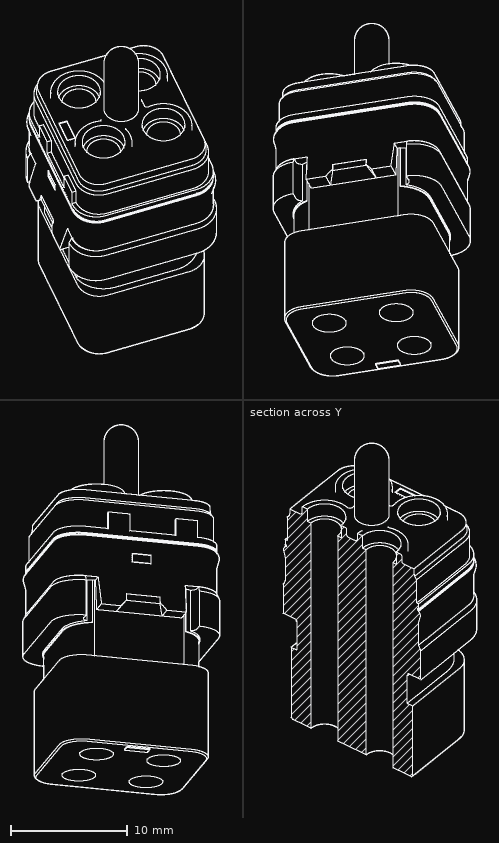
import cadquery as cq
import math

MARK_HEIGHT = 0.1
Z_BLOCK_BOTTOM = MARK_HEIGHT
Z_BLOCK_TOP = 7.95
Z_COLLAR_BOTTOM = 11.05
Z_SKIRT_BOTTOM = 11.23
Z_SKIRT_SHOULDER = 14.44
Z_SKIRT_TOP = 14.93
Z_BEAD_FOOT = 17.4
Z_BEAD_LOW = 18.2
Z_BEAD_TOP = 18.73
Z_RELIEF_TOP = 18.87
Z_BODY_TOP = 19.45
Z_TAB_TOP = 20.97
Z_UPPER_SHOULDER = 22.0
Z_LIP_FLARE = 22.28
Z_LIP = 22.77
Z_FACE = 23.05
Z_PLATEAU = 23.97
Z_PIN_TIP = 31.4

BLOCK_X, BLOCK_Y, BLOCK_R = 6.62, 5.76, 2.0
BLOCK_BOTTOM_CHAMFER = 0.15
SKIRT_X, SKIRT_Y, SKIRT_R = 7.5, 6.7, 2.5
BODY_X, BODY_Y, BODY_R = 7.26, 6.4, 2.2
UPPER_X, UPPER_Y, UPPER_R = 7.05, 6.02, 2.1

LIP_FLARE_INSET = 0.22
LIP_INSET = 0.3
RELIEF_INSET = 0.12
BEAD_HEIGHT = 0.21
BEAD_ROUND = 0.5

NECK_X, NECK_Y = 6.02, 5.56
NECK_FLAT_Y = 2.8
NECK_FLAT_X = 4.0
NECK_ARC_END = (4.49, 5.35)
COLLAR_LIP = 0.08
COLLAR_GAP_X = 4.17

OPENING_X = BODY_X - BODY_R
OPENING_INNER_Y = NECK_ARC_END[1]
OPENING_FILLET = OPENING_X - NECK_ARC_END[0]
LATCH_TOP_X, LATCH_BOTTOM_X = 3.9, 3.8
LATCH_TIP_Y = 7.05
Z_LATCH_RAMP_END = 12.47
Z_LATCH_BOTTOM = 12.25
RECESS_X, RECESS_FLARE_X = 1.5, 2.05
RECESS_WALL_Y = 6.77
Z_RECESS_TOP, Z_RECESS_FLARE = 13.5, 12.9

PITCH_X, PITCH_Y = 6.0, 5.5
RING_RADIUS = 2.45
CENTRE_SQUARE = 4.0
SLOT_CORNER_FILLET = 0.22
SELECT_MARGIN = 0.01
RING_TOP_FILLET = 0.17
RING_FOOT_FILLET = 0.18
BORE_RADIUS = 1.45
COUNTERBORE_RADIUS = 1.83
COUNTERBORE_DEPTH = 1.35
PIN_RADIUS = 1.5

TAB_SPANS = [(-2.98, -1.07), (3.07, 4.98)]
NOTCH_WIDTH, Z_NOTCH_BOTTOM, NOTCH_DEPTH = 1.66, 16.63, 0.1
MARK_WIDTH, MARK_LENGTH, MARK_Y = 2.05, 0.72, -4.96


def box(x0, x1, y0, y1, z0, z1):
    """Axis-aligned box between two corners."""
    return cq.Workplane("XY").box(x1 - x0, y1 - y0, z1 - z0, centered=False).translate((x0, y0, z0))


def section(half_x, half_y, radius, z0, z1, end_inset=0.0):
    """Rounded rectangular block from z0 up or down to z1, where its outline is end_inset smaller."""
    taper = math.degrees(math.atan2(end_inset, abs(z1 - z0)))
    outline = cq.Sketch().rect(2 * half_x, 2 * half_y).vertices().fillet(radius)
    return cq.Workplane("XY").workplane(offset=z0).placeSketch(outline).extrude(z1 - z0, taper=taper)


def body_section(z0, z1, inset=0.0, end_inset=0.0):
    return section(BODY_X - inset, BODY_Y - inset, BODY_R - inset, z0, z1, end_inset)


def upper_section(z0, z1, inset=0.0, end_inset=0.0):
    return section(UPPER_X - inset, UPPER_Y - inset, UPPER_R - inset, z0, z1, end_inset)


def make_block():
    block = section(BLOCK_X, BLOCK_Y, BLOCK_R, Z_BLOCK_BOTTOM, Z_BLOCK_TOP)
    return block.faces("<Z").chamfer(BLOCK_BOTTOM_CHAMFER)


def neck_wire(z):
    """Neck outline: flat sides, large corner arcs and a narrow bevel beside each Y flat."""
    end_x, end_y = NECK_ARC_END
    rise = end_y - NECK_FLAT_Y
    run = NECK_X - end_x
    radius = (run ** 2 + rise ** 2) / (2 * run)
    centre_x = NECK_X - radius
    half_angle = math.atan2(rise, end_x - centre_x) / 2
    mid_x = centre_x + radius * math.cos(half_angle)
    mid_y = NECK_FLAT_Y + radius * math.sin(half_angle)
    return (
        cq.Workplane("XY").workplane(offset=z)
        .moveTo(NECK_X, -NECK_FLAT_Y)
        .lineTo(NECK_X, NECK_FLAT_Y)
        .threePointArc((mid_x, mid_y), (end_x, end_y))
        .lineTo(NECK_FLAT_X, NECK_Y)
        .lineTo(-NECK_FLAT_X, NECK_Y)
        .lineTo(-end_x, end_y)
        .threePointArc((-mid_x, mid_y), (-NECK_X, NECK_FLAT_Y))
        .lineTo(-NECK_X, -NECK_FLAT_Y)
        .threePointArc((-mid_x, -mid_y), (-end_x, -end_y))
        .lineTo(-NECK_FLAT_X, -NECK_Y)
        .lineTo(NECK_FLAT_X, -NECK_Y)
        .lineTo(end_x, -end_y)
        .threePointArc((mid_x, -mid_y), (NECK_X, -NECK_FLAT_Y))
        .close()
    )


def make_neck():
    """Neck, with a slightly larger collar where it enters the skirt."""
    neck = neck_wire(Z_BLOCK_TOP).extrude(Z_SKIRT_TOP - Z_BLOCK_TOP)
    collar = neck_wire(Z_COLLAR_BOTTOM).offset2D(COLLAR_LIP).extrude(Z_SKIRT_TOP - Z_COLLAR_BOTTOM)
    gap = box(-COLLAR_GAP_X, COLLAR_GAP_X, -SKIRT_Y, SKIRT_Y, Z_COLLAR_BOTTOM, Z_SKIRT_TOP)
    return neck.union(collar.cut(gap))


def make_skirt():
    """Skirt with a sloped shoulder, open across both Y sides for the latches."""
    skirt = section(SKIRT_X, SKIRT_Y, SKIRT_R, Z_SKIRT_BOTTOM, Z_SKIRT_SHOULDER)
    shoulder = section(
        SKIRT_X, SKIRT_Y, SKIRT_R, Z_SKIRT_SHOULDER, Z_SKIRT_TOP, SKIRT_X - BODY_X
    )
    opening = box(-OPENING_X, OPENING_X, -SKIRT_Y, -OPENING_INNER_Y, Z_SKIRT_BOTTOM, Z_SKIRT_TOP)
    opening = opening.edges("|Z and >Y").fillet(OPENING_FILLET)
    return skirt.union(shoulder).cut(opening).cut(opening.mirror("XZ"))


def make_latch():
    """Wedge-shaped latch on the -Y side, with a flared recess in its lower edge."""
    wedge = (
        cq.Workplane("YZ").workplane(offset=-LATCH_TOP_X)
        .polyline([
            (-OPENING_INNER_Y, Z_SKIRT_TOP),
            (-BODY_Y, Z_SKIRT_TOP),
            (-LATCH_TIP_Y, Z_LATCH_RAMP_END),
            (-LATCH_TIP_Y, Z_LATCH_BOTTOM),
            (-OPENING_INNER_Y, Z_LATCH_BOTTOM),
        ]).close().extrude(2 * LATCH_TOP_X)
    )
    front = (
        cq.Workplane("XZ")
        .polyline([
            (-LATCH_TOP_X, Z_SKIRT_TOP),
            (LATCH_TOP_X, Z_SKIRT_TOP),
            (LATCH_BOTTOM_X, Z_LATCH_BOTTOM),
            (-LATCH_BOTTOM_X, Z_LATCH_BOTTOM),
        ]).close().extrude(LATCH_TIP_Y)
    )
    recess_outline = (
        cq.Workplane("XZ")
        .polyline([
            (-RECESS_X, Z_RECESS_TOP),
            (RECESS_X, Z_RECESS_TOP),
            (RECESS_X, Z_RECESS_FLARE),
            (RECESS_FLARE_X, Z_LATCH_BOTTOM),
            (-RECESS_FLARE_X, Z_LATCH_BOTTOM),
            (-RECESS_X, Z_RECESS_FLARE),
        ]).close().extrude(LATCH_TIP_Y)
    )
    recess_depth = (
        cq.Workplane("YZ").workplane(offset=-RECESS_FLARE_X)
        .polyline([
            (-LATCH_TIP_Y, Z_RECESS_TOP),
            (-RECESS_WALL_Y, Z_RECESS_TOP),
            (-RECESS_WALL_Y, Z_RECESS_FLARE),
            (-NECK_Y, Z_LATCH_BOTTOM),
            (-LATCH_TIP_Y, Z_LATCH_BOTTOM),
        ]).close().extrude(2 * RECESS_FLARE_X)
    )
    return wedge.intersect(front).cut(recess_outline.intersect(recess_depth))


def make_body():
    """Body between skirt and upper block, with the sealing bead around it."""
    body = body_section(Z_SKIRT_TOP, Z_BEAD_TOP)
    body = body.union(body_section(Z_BEAD_TOP, Z_RELIEF_TOP, RELIEF_INSET))
    body = body.union(body_section(Z_RELIEF_TOP, Z_BODY_TOP))
    return body.union(make_bead())


def make_bead():
    """Sealing bead: rounded above, sloping back to the body below."""
    bead = body_section(Z_BEAD_LOW, Z_BEAD_TOP, -BEAD_HEIGHT)
    bead = bead.faces(">Z").edges().fillet(BEAD_ROUND)
    return bead.union(body_section(Z_BEAD_LOW, Z_BEAD_FOOT, -BEAD_HEIGHT, BEAD_HEIGHT))


def make_upper():
    """Upper block: straight sides, a shoulder, a slight flare and a straight lip."""
    upper = upper_section(Z_BODY_TOP, Z_UPPER_SHOULDER)
    upper = upper.union(upper_section(Z_UPPER_SHOULDER, Z_LIP_FLARE, 0.0, LIP_FLARE_INSET))
    flare = upper_section(Z_LIP_FLARE, Z_LIP, LIP_FLARE_INSET, LIP_INSET - LIP_FLARE_INSET)
    lip = upper_section(Z_LIP, Z_FACE, LIP_INSET)
    return upper.union(flare).union(lip)


def contact_points(z):
    return cq.Workplane("XY").workplane(offset=z).rarray(PITCH_X, PITCH_Y, 2, 2)


def add_plateau(part):
    """Four contact rings joined by a central square, filleted at foot, rim and slot ends."""
    height = Z_PLATEAU - Z_FACE
    plateau = contact_points(Z_FACE).circle(RING_RADIUS).extrude(height)
    centre = cq.Workplane("XY").workplane(offset=Z_FACE).rect(CENTRE_SQUARE, CENTRE_SQUARE)
    plateau = plateau.union(centre.extrude(height))
    half = CENTRE_SQUARE / 2 + SELECT_MARGIN
    slot_zone = cq.selectors.BoxSelector((-half, -half, Z_FACE), (half, half, Z_PLATEAU))
    plateau = plateau.edges("|Z").edges(slot_zone).fillet(SLOT_CORNER_FILLET)
    part = part.union(plateau.faces(">Z").edges().fillet(RING_TOP_FILLET))
    reach = PITCH_X / 2 + RING_RADIUS
    low = Z_FACE - SELECT_MARGIN
    high = Z_FACE + SELECT_MARGIN
    foot_zone = cq.selectors.BoxSelector((-reach, -reach, low), (reach, reach, high))
    return part.edges(foot_zone).fillet(RING_FOOT_FILLET)


def make_pin():
    z_dome = Z_PIN_TIP - PIN_RADIUS
    shaft = cq.Workplane("XY").workplane(offset=Z_FACE).circle(PIN_RADIUS).extrude(z_dome - Z_FACE)
    return shaft.union(cq.Workplane("XY").sphere(PIN_RADIUS).translate((0, 0, z_dome)))


def make_mark(z0):
    """Thin rectangular mark: raised under the block, sunk into the top face."""
    x = MARK_WIDTH / 2
    y = MARK_LENGTH / 2
    return box(-x, x, MARK_Y - y, MARK_Y + y, z0, z0 + MARK_HEIGHT)


def make_tabs():
    tabs = cq.Workplane("XY")
    for x0, x1 in TAB_SPANS:
        tabs = tabs.add(box(x0, x1, -BODY_Y, -UPPER_Y, Z_BODY_TOP, Z_TAB_TOP))
    return tabs.combine()


def make_notch():
    x = NOTCH_WIDTH / 2
    return box(-x, x, -BODY_Y, -BODY_Y + NOTCH_DEPTH, Z_NOTCH_BOTTOM, Z_BEAD_FOOT)


def cut_contact_holes(part):
    bores = contact_points(0).circle(BORE_RADIUS).extrude(Z_PLATEAU)
    counterbores = contact_points(Z_PLATEAU).circle(COUNTERBORE_RADIUS).extrude(-COUNTERBORE_DEPTH)
    return part.cut(bores).cut(counterbores)


latch = make_latch()
part = make_body().union(make_upper())
part = add_plateau(part)
part = part.union(make_tabs()).cut(make_notch())
part = part.union(make_block()).union(make_neck()).union(make_skirt())
part = part.union(latch).union(latch.mirror("XZ"))
part = part.union(make_mark(0)).cut(make_mark(Z_FACE - MARK_HEIGHT))
part = cut_contact_holes(part)
result = part.union(make_pin())